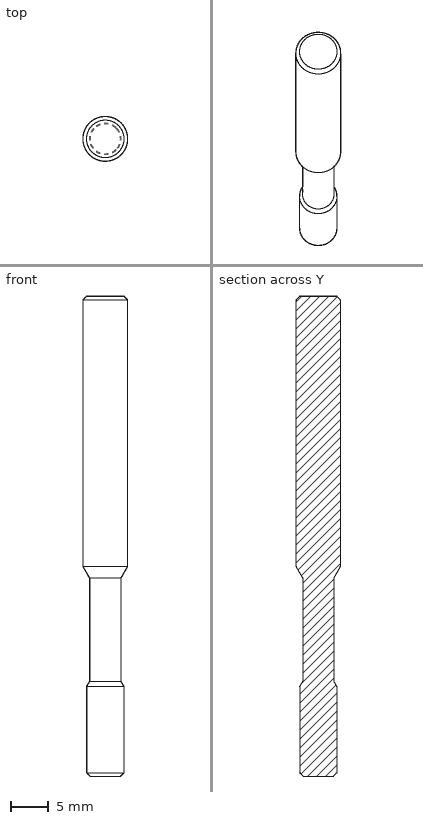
import cadquery as cq
import math

total_length = 64.0

shank_diameter = 6.0
shank_length = 36.0
shank_chamfer = 0.5

neck_diameter = 4.2
cone_half_angle = 30.0

head_diameter = 5.0
head_length = 12.0
head_chamfer = 0.5

shank_radius = shank_diameter / 2
neck_radius = neck_diameter / 2
head_radius = head_diameter / 2

cone_top = total_length - shank_length
cone_height = (shank_radius - neck_radius) / math.tan(math.radians(cone_half_angle))
cone_bottom = cone_top - cone_height
shoulder_height = (head_radius - neck_radius) / math.tan(math.radians(cone_half_angle))
shoulder_top = head_length + shoulder_height


def stepped_pin():
    """Solid of revolution about Z; the half profile lies on the -X side, listed from the bottom up."""
    outline = [
        (0, 0),
        (-(head_radius - head_chamfer), 0),
        (-head_radius, head_chamfer),
        (-head_radius, head_length),
        (-neck_radius, shoulder_top),
        (-neck_radius, cone_bottom),
        (-shank_radius, cone_top),
        (-shank_radius, total_length - shank_chamfer),
        (-(shank_radius - shank_chamfer), total_length),
        (0, total_length),
    ]
    return cq.Workplane("XZ").polyline(outline).close().revolve(360, (0, 0, 0), (0, 1, 0))


result = stepped_pin()